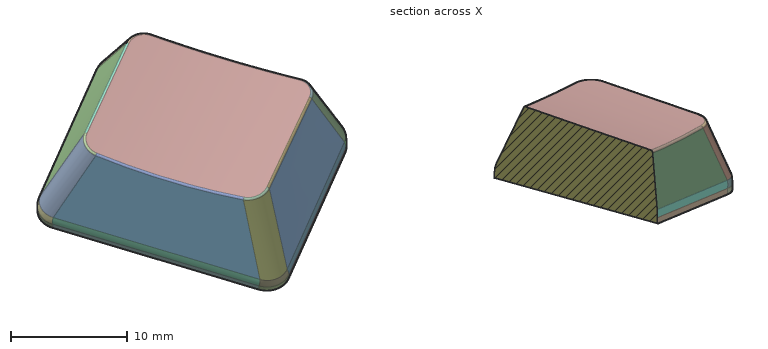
import cadquery as cq
import math

length = 22.92
width = 18.15
base_corner_radius = 2.02
skirt_height = 0.6
blend_rise = 0.73
blend_steps = 4

side_slope = 0.47
front_slope = 0.52
back_slope = 0.1
blank_front_height = 8.25
wall_corner_radius = 1.83
top_corner_radius = 1.76

dish_radius = 68.75
dish_front_y = -5.6
dish_front_height = 7.33
top_fall = 0.055
dish_tool_length = 3 * width
top_tilt = math.degrees(math.atan(top_fall))
rim_radius = 0.23


def wall_inset(slope, z):
    """Inset of a wall from the footprint: none, then an arc, then a straight slope."""
    rise = max(z - skirt_height, 0)
    lean = math.atan(slope)
    blend_radius = blend_rise / math.sin(lean)
    if rise < blend_rise:
        return blend_radius - math.sqrt(blend_radius**2 - rise**2)
    return blend_radius * (1 - math.cos(lean)) + slope * (rise - blend_rise)


def section(z, corner_radius):
    """Filled rounded rectangle of the outer walls at height z."""
    side = wall_inset(side_slope, z)
    front = wall_inset(front_slope, z)
    back = wall_inset(back_slope, z)
    outline = cq.Sketch().rect(length - 2 * side, width - front - back)
    outline = outline.vertices().fillet(corner_radius)
    return outline.moved(cq.Location(cq.Vector(0, (front - back) / 2, z)))


def make_skirt():
    outline = section(0, base_corner_radius)
    return cq.Workplane("XY").placeSketch(outline).extrude(skirt_height)


def make_blend_band():
    heights = [skirt_height + blend_rise * step / blend_steps for step in range(blend_steps + 1)]
    radius_loss = (base_corner_radius - wall_corner_radius) / blend_steps
    sections = [section(z, base_corner_radius - radius_loss * step) for step, z in enumerate(heights)]
    return cq.Workplane("XY").placeSketch(*sections).loft()


def tilted_top_section():
    """Rounded rectangle in a plane that falls towards the back, just above the dish."""
    front_y = wall_inset(front_slope, blank_front_height) - width / 2
    back_height = blank_front_height - top_fall * (width / 2 - front_y)
    back_y = width / 2 - wall_inset(back_slope, back_height)
    middle_height = (blank_front_height + back_height) / 2
    top_length = length - 2 * wall_inset(side_slope, middle_height)
    top_depth = math.hypot(back_y - front_y, blank_front_height - back_height)
    outline = cq.Sketch().rect(top_length, top_depth).vertices().fillet(top_corner_radius)
    centre = cq.Vector(0, (front_y + back_y) / 2, middle_height)
    return outline.moved(cq.Location(centre, cq.Vector(1, 0, 0), -top_tilt))


def make_tapered_body():
    """Four sloping walls; the tilted top makes the side walls twist slightly."""
    lower = section(skirt_height + blend_rise, wall_corner_radius)
    return cq.Workplane("XY").placeSketch(lower, tilted_top_section()).loft(ruled=True)


def make_dish_space():
    """Long cylinder whose underside is the hollow of the top face."""
    cylinder = cq.Workplane("XZ").circle(dish_radius).extrude(dish_tool_length / 2, both=True)
    cylinder = cylinder.translate((0, 0, dish_radius))
    cylinder = cylinder.rotate((0, 0, 0), (1, 0, 0), -top_tilt)
    return cylinder.translate((0, dish_front_y, dish_front_height))


body = make_tapered_body().cut(make_dish_space())
dish_face = body.faces(cq.selectors.NearestToPointSelector((0, 0, dish_front_height)))
body = dish_face.edges().fillet(rim_radius)
result = body.union(make_blend_band()).union(make_skirt())